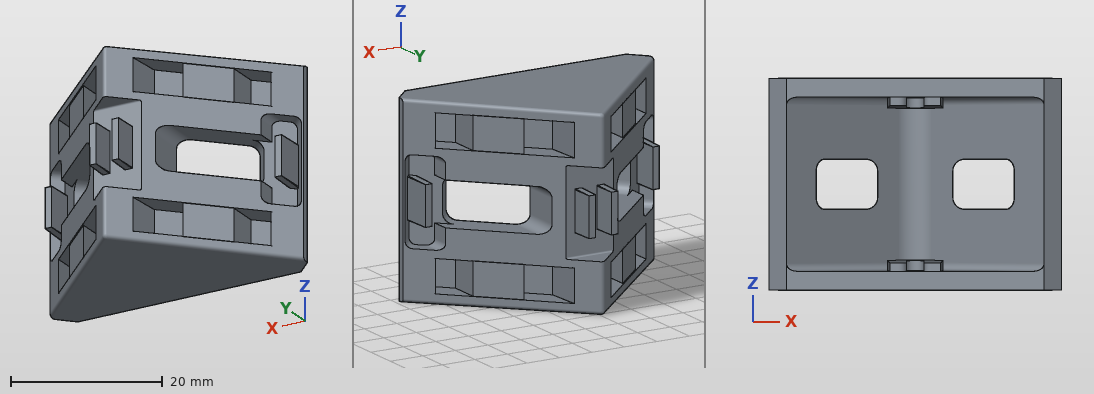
import cadquery as cq
import math


WIDTH = 38.6
HEIGHT = 28.0
INNER_REACH = 17.0
LEG_THICKNESS = 4.0
OUTER_REACH = INNER_REACH + LEG_THICKNESS * math.sqrt(2)
BODY_DRAFT = 0.5
MOULD_DRAFT = 1.5
GUSSET = 2.5
EDGE_ROUND = 0.5
CORNER_ROUND = 3.0
CAVITY_ROUND = 1.0
OVERCUT = 1.93

WINDOW_NEAR = 4.98
WINDOW_FAR = 13.05
WINDOW_HEIGHT = 6.55
WINDOW_ROUND = 1.5
WINDOW_OFFSET = 2 * WINDOW_FAR - INNER_REACH

SEAT_THICKNESS = 2.0
RECESS_REACH = INNER_REACH + SEAT_THICKNESS * math.sqrt(2)
RECESS_NEAR = 15.2
TIP_WALL = 1.0
RECESS_OFFSET = INNER_REACH - TIP_WALL * math.sqrt(2)
RECESS_HEIGHT = 12.9
RECESS_ROUND = 1.0
NOTCH_FLOOR = 19.03
NOTCH_ROUND = 0.25

PEG_THICKNESS = 1.0
PEG_HEIGHT = 5.85
CORNER_PEG_X = 1.7
CORNER_PEG_TOP = 22.6
TIP_PEG_X = 17.5
TIP_PEG_TOP = 6.9
PEG_ROOT = 0.77

LIGHT_Z = 10.0
LIGHT_HEIGHT = 4.85
LIGHT_NEAR = 2.8
LAND_NEAR = 7.55
LAND_FAR = 12.5
LIGHT_FAR = 16.17
LIGHT_SKIN = 0.7
LIGHT_REACH = INNER_REACH + LIGHT_SKIN * math.sqrt(2)
LAND_DROP = 0.25
LIGHT_WALL_DRAFT = 4.0

PRONG_FRONT = 0.1
TONGUE_WIDTH = 6.68
TONGUE_RISE = 1.1
SLOT_WIDTH = 2.3
SLOT_END = 11.0
PRONG_ROUND = 1.0


def run(length, degrees):
    """Sideways shift of a face drafted by the angle over the length."""
    return length * math.tan(math.radians(degrees))


def on_both_legs(solid):
    return solid.union(solid.mirror("YZ"))


def on_both_gussets(solid):
    return solid.union(solid.mirror("XY"))


def plan_prism(points, height):
    """Plan outline extruded symmetrically about the middle plane."""
    return cq.Workplane("XY").polyline(points).close().extrude(height / 2, both=True)


def across_prism(points):
    """Outline in Y and Z extruded over more than the whole width."""
    return cq.Workplane("YZ").polyline(points).close().extrude(WIDTH, both=True)


def box(x0, x1, y0, y1, height):
    size = (x1 - x0, y1 - y0, height)
    middle = ((x0 + x1) / 2, (y0 + y1) / 2, 0)
    return cq.Workplane("XY").box(*size).translate(middle)


def converging_slab(front_height):
    """Slab whose height, given at y = 0, shrinks with Y at the body draft."""
    front = front_height / 2 + run(OVERCUT, BODY_DRAFT)
    back = front_height / 2 - run(OUTER_REACH, BODY_DRAFT)
    return across_prism(
        [(-OVERCUT, -front), (OUTER_REACH, -back), (OUTER_REACH, back), (-OVERCUT, front)]
    )


def round_rims(solid, lowest_y, radius):
    """Round the upper and lower edges that lie beyond the given Y."""
    corner = (WIDTH, WIDTH, HEIGHT)
    upper = cq.selectors.BoxSelector((-WIDTH, lowest_y, HEIGHT / 4), corner)
    lower = cq.selectors.BoxSelector((-WIDTH, lowest_y, -HEIGHT / 4), (WIDTH, WIDTH, -HEIGHT))
    return solid.edges(upper + lower).fillet(radius)


def make_body():
    tip = WIDTH / 2
    shoulder = OUTER_REACH - tip
    outline = [
        (-INNER_REACH, 0), (INNER_REACH, 0), (tip, tip - INNER_REACH), (tip, shoulder),
        (0, OUTER_REACH), (-tip, shoulder), (-tip, tip - INNER_REACH),
    ]
    body = plan_prism(outline, HEIGHT).edges("|Z and >Y").fillet(EDGE_ROUND)
    body = body.intersect(converging_slab(HEIGHT))
    return round_rims(body, shoulder, EDGE_ROUND)


def make_cavity():
    mouth = INNER_REACH + OVERCUT
    outline = [(-mouth, -OVERCUT), (mouth, -OVERCUT), (0, INNER_REACH)]
    cavity = plan_prism(outline, HEIGHT).edges("|Z and >Y").fillet(CORNER_ROUND)
    cavity = cavity.intersect(converging_slab(HEIGHT - 2 * GUSSET))
    return round_rims(cavity, 0, CAVITY_ROUND)


def make_tongue():
    """Tongue on the lower gusset, reaching back into both legs."""
    back = INNER_REACH
    length = back - PRONG_FRONT
    front_half = TONGUE_WIDTH / 2
    back_half = front_half + run(length, MOULD_DRAFT)
    slot_half = SLOT_WIDTH / 2
    outline = [
        (-front_half, PRONG_FRONT), (front_half, PRONG_FRONT), (back_half, back), (-back_half, back),
    ]
    slot = (
        cq.Workplane("XY")
        .moveTo(-slot_half, PRONG_FRONT)
        .lineTo(slot_half, PRONG_FRONT)
        .lineTo(slot_half, SLOT_END)
        .threePointArc((0, SLOT_END + slot_half), (-slot_half, SLOT_END))
        .close()
        .extrude(HEIGHT / 2, both=True)
    )
    tongue = plan_prism(outline, HEIGHT).cut(slot)
    inside_prongs = cq.selectors.BoxSelector(
        (-SLOT_WIDTH, -OVERCUT, -HEIGHT), (SLOT_WIDTH, OVERCUT, HEIGHT)
    )
    tongue = tongue.edges("|Z").edges(inside_prongs).fillet(PRONG_ROUND)

    root = -HEIGHT / 2 + GUSSET / 2
    crest = -HEIGHT / 2 + GUSSET + TONGUE_RISE
    slope = [(0, root), (back, root), (back, crest + run(back, MOULD_DRAFT)), (0, crest)]
    leg_middle = (INNER_REACH + OUTER_REACH) / 2
    within_legs = plan_prism([(-leg_middle, 0), (leg_middle, 0), (0, leg_middle)], HEIGHT)
    return tongue.intersect(across_prism(slope)).intersect(within_legs)


def outside_reach(reach):
    """Everything on the right half that lies beyond the given reach."""
    far = WIDTH
    return plan_prism([(0, reach), (reach + OVERCUT, -OVERCUT), (far, far), (0, far)], HEIGHT)


def leg_channel(near, far_offset, height, radius):
    """Channel through the right leg: near end along Y, far end square to the leg.

    The far end lies on the plane |x| - y = far_offset. The end corners are rounded.
    """
    near_part = box(near, 2 * WIDTH, -WIDTH, WIDTH, height).edges("|Y and <X").fillet(radius)
    far_part = (
        box(-2 * WIDTH, far_offset / math.sqrt(2), -WIDTH, WIDTH, height)
        .edges("|Y and >X")
        .fillet(radius)
        .rotate((0, 0, 0), (0, 0, 1), -45)
    )
    return near_part.intersect(far_part)


def make_window():
    """Bolt window through the right leg; its outer part runs on into the recess."""
    through = leg_channel(WINDOW_NEAR, WINDOW_OFFSET, WINDOW_HEIGHT, WINDOW_ROUND)
    outer_part = leg_channel(WINDOW_NEAR, RECESS_OFFSET, WINDOW_HEIGHT, WINDOW_ROUND)
    return through.union(outer_part.intersect(outside_reach(RECESS_REACH)))


def make_tip_recess():
    recess = leg_channel(RECESS_NEAR, RECESS_OFFSET, RECESS_HEIGHT, RECESS_ROUND)
    return recess.intersect(outside_reach(RECESS_REACH))


def make_notch():
    half = OUTER_REACH - NOTCH_FLOOR + OVERCUT
    notch = box(-half, half, NOTCH_FLOOR, OUTER_REACH + OVERCUT, RECESS_HEIGHT)
    return notch.edges("|X and <Y").fillet(NOTCH_ROUND)


def make_peg(x, top, root):
    """Drafted peg standing along Y from the root to the top."""
    return (
        cq.Workplane("XZ", origin=(x, top, 0))
        .rect(PEG_THICKNESS, PEG_HEIGHT)
        .extrude(top - root, taper=-MOULD_DRAFT)
    )


def make_light_pockets():
    """Pair of pockets in the right leg, at the upper gusset."""
    rim_y = OUTER_REACH - LIGHT_NEAR
    wall_shift = run(rim_y, LIGHT_WALL_DRAFT)
    near_outline = [
        (LIGHT_NEAR, rim_y), (LIGHT_NEAR + wall_shift, 0),
        (LAND_NEAR, 0), (LAND_NEAR, WIDTH), (LIGHT_NEAR, WIDTH),
    ]
    near_pocket = plan_prism(near_outline, LIGHT_HEIGHT)
    far_pocket = box(LAND_FAR, LIGHT_FAR, 0, WIDTH, LIGHT_HEIGHT)
    land = box(LAND_NEAR, LAND_FAR, 0, WIDTH, LIGHT_HEIGHT)
    land = land.intersect(outside_reach(OUTER_REACH - LAND_DROP))
    pockets = near_pocket.union(far_pocket).intersect(outside_reach(LIGHT_REACH)).union(land)
    return pockets.translate((0, 0, LIGHT_Z))


tongues = on_both_gussets(make_tongue())
tip_peg = make_peg(TIP_PEG_X, TIP_PEG_TOP, RECESS_REACH - TIP_PEG_X - PEG_ROOT)
corner_peg = make_peg(CORNER_PEG_X, CORNER_PEG_TOP, NOTCH_FLOOR - PEG_ROOT)

result = (
    make_body()
    .cut(make_cavity())
    .union(tongues)
    .cut(on_both_legs(make_window()))
    .cut(on_both_legs(make_tip_recess()))
    .cut(make_notch())
    .cut(on_both_legs(on_both_gussets(make_light_pockets())))
    .union(on_both_legs(tip_peg))
    .union(on_both_legs(corner_peg))
)